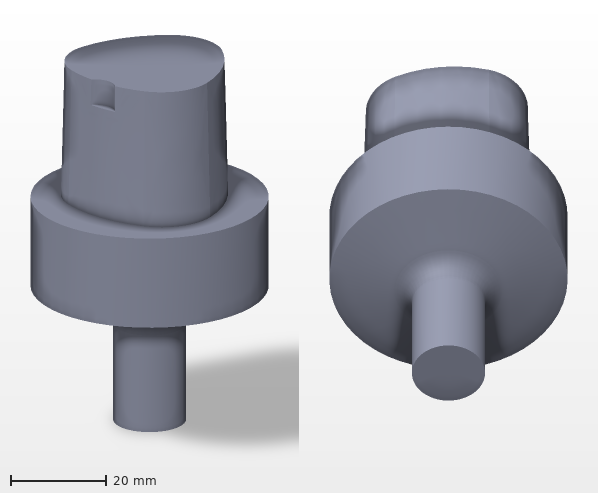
import cadquery as cq
import math

total_height = 80.0
flange_diameter = 50.0
flange_bottom = 30.0
flange_top = 50.0
stem_diameter = 15.4

cone_angle = 15.0
blend_radius = 4.8

lobe_reach = 18.7
flat_reach = 16.3
lobe_radius = 11.8
shank_height = total_height - flange_top
diameter_taper = 1 / 20

notch_radius = 4.2
notch_depth = 5.7
notch_center_y = -18.2


def polar(radius, angle):
    """Point at a radius and an angle in degrees."""
    return (radius * math.cos(math.radians(angle)), radius * math.sin(math.radians(angle)))


def make_body():
    """Stem, blend, cone and flange in one revolve."""
    stem_radius = stem_diameter / 2
    flange_radius = flange_diameter / 2
    slope = math.radians(cone_angle)
    neck_radius = stem_radius + blend_radius * (1 - math.sin(slope))
    neck_top = flange_bottom - (flange_radius - neck_radius) * math.tan(slope)
    blend_bottom = neck_top - blend_radius * math.cos(slope)
    return (
        cq.Workplane("XZ")
        .lineTo(stem_radius, 0)
        .lineTo(stem_radius, blend_bottom)
        .radiusArc((neck_radius, neck_top), blend_radius)
        .lineTo(flange_radius, flange_bottom)
        .lineTo(flange_radius, flange_top)
        .lineTo(0, flange_top)
        .close()
        .revolve(360, (0, 0, 0), (0, 1, 0))
    )


def make_shank():
    """Tapered shank with lobes at 90, 210 and 330 degrees."""
    lobe_offset = lobe_reach - lobe_radius
    reach_gap = flat_reach - lobe_radius
    side_offset = (lobe_offset**2 - reach_gap**2) / (2 * reach_gap - lobe_offset)
    half_sweep = math.degrees(
        math.atan2(
            side_offset * math.sin(math.radians(60)),
            lobe_offset + side_offset * math.cos(math.radians(60)),
        )
    )

    def lobe_end(lobe_angle, side):
        center_x, center_y = polar(lobe_offset, lobe_angle)
        end_x, end_y = polar(lobe_radius, lobe_angle + side * half_sweep)
        return (center_x + end_x, center_y + end_y)

    outline = cq.Workplane("XY").workplane(offset=flange_top).moveTo(*lobe_end(90, -1))
    for lobe_angle in (90, 210, 330):
        outline = outline.threePointArc(polar(lobe_reach, lobe_angle), lobe_end(lobe_angle, 1))
        outline = outline.threePointArc(
            polar(flat_reach, lobe_angle + 60), lobe_end(lobe_angle + 120, -1)
        )
    taper_angle = math.degrees(math.atan(diameter_taper / 2))
    return outline.close().extrude(shank_height, taper=taper_angle)


def make_notch():
    """Vertical cylinder that removes the notch."""
    return (
        cq.Workplane("XY")
        .workplane(offset=total_height - notch_depth)
        .center(0, notch_center_y)
        .circle(notch_radius)
        .extrude(notch_depth)
    )


result = make_body().union(make_shank()).cut(make_notch())